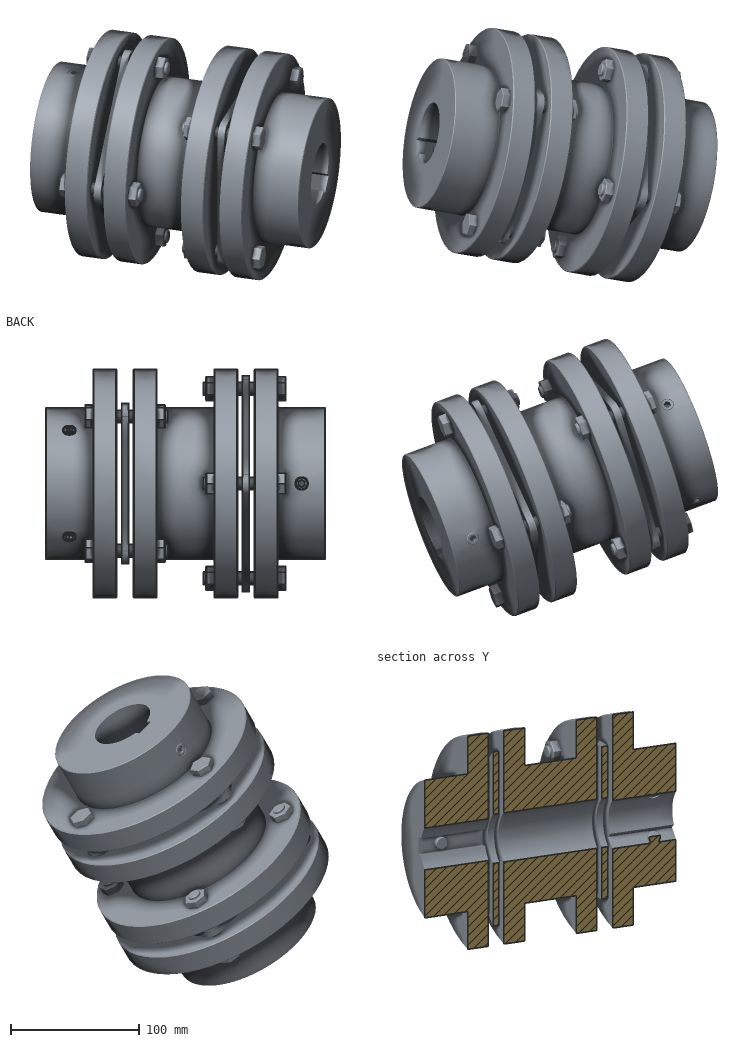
import cadquery as cq
import math


LENGTH = 218.0
HUB_RADIUS = 59.0
FLANGE_RADIUS = 178.0 / 2
FLANGE_WIDTH = 18.3
FLANGE_CHAMFER = 0.7
NECK_ROOT_FILLET = 0.55
HUB_END_CHAMFER = 0.55
BORE_RADIUS = 24.0
SPACER_BORE_RADIUS = 26.2

HUB_END_X = -LENGTH / 2
HUB_NECK_LENGTH = 37.0
FLANGE_GAP = 13.0
HUB_FLANGE_X = HUB_END_X + HUB_NECK_LENGTH
HUB_FACE_X = HUB_FLANGE_X + FLANGE_WIDTH
SPACER_FACE_X = HUB_FACE_X + FLANGE_GAP
SPACER_FLANGE_X = SPACER_FACE_X + FLANGE_WIDTH

BOLT_COUNT = 4
BOLT_CIRCLE_RADIUS = 74.0
BOLT_RADIUS = 5.0
HEX_ACROSS_FLATS = 16.1
HEX_HEIGHT = 6.3
HEX_CHAMFER = 0.55
BOLT_TIP_LENGTH = 2.2
BOLT_TIP_CHAMFER = 0.7
PACK_THICKNESS = 5.5
PACK_CORNER_RADIUS = 10.2

KEYWAY_WIDTH = 14.0
KEYWAY_DEPTH = 27.7

SCREW_RADIUS = 5.0
SCREW_CHAMFER = 0.7
SCREW_X = HUB_END_X + HUB_NECK_LENGTH / 2
SOCKET_ACROSS_FLATS = 5.0
SOCKET_DEPTH = 5.0

SELECTION_MARGIN = 0.2

HALF_TURN_ANGLE = -45


def across_corners(across_flats):
    return across_flats / math.cos(math.radians(30))


def along_x(x):
    """Sketch plane square to the shaft axis."""
    return cq.Workplane("YZ", origin=(x, 0, 0))


def turn_about_x(body, angle):
    return body.rotate((0, 0, 0), (1, 0, 0), angle)


def right_half_copy(body):
    return turn_about_x(body.mirror("YZ"), HALF_TURN_ANGLE)


def cylinder(x_start, x_end, radius):
    return along_x(x_start).circle(radius).extrude(x_end - x_start)


def flange(x_start):
    disc = cylinder(x_start, x_start + FLANGE_WIDTH, FLANGE_RADIUS)
    return disc.faces("<X or >X").edges().chamfer(FLANGE_CHAMFER)


def neck_root(x):
    """Selector box around the edge where a neck meets its flange at x."""
    reach = HUB_RADIUS + SELECTION_MARGIN
    low_corner = (x - SELECTION_MARGIN, -reach, -reach)
    high_corner = (x + SELECTION_MARGIN, reach, reach)
    return cq.selectors.BoxSelector(low_corner, high_corner, boundingbox=True)


def set_screw():
    """Set screw pointing along -Z, with a hex socket in its outer end."""
    body = (
        cq.Workplane("XY", origin=(SCREW_X, 0, BORE_RADIUS))
        .circle(SCREW_RADIUS)
        .extrude(HUB_RADIUS - BORE_RADIUS)
        .faces("<Z or >Z")
        .edges()
        .chamfer(SCREW_CHAMFER)
    )
    socket = (
        cq.Workplane("XY", origin=(SCREW_X, 0, HUB_RADIUS - SOCKET_DEPTH))
        .transformed(rotate=(0, 0, 90))
        .polygon(6, across_corners(SOCKET_ACROSS_FLATS))
        .extrude(SOCKET_DEPTH)
    )
    return body.cut(socket)


def hub():
    barrel = cylinder(HUB_END_X, HUB_FLANGE_X, HUB_RADIUS).faces("<X").chamfer(HUB_END_CHAMFER)
    body = barrel.union(flange(HUB_FLANGE_X))
    body = body.edges(neck_root(HUB_FLANGE_X)).fillet(NECK_ROOT_FILLET)
    body = body.cut(cylinder(HUB_END_X, HUB_FACE_X, BORE_RADIUS))

    keyway = (
        along_x(HUB_END_X)
        .rect(KEYWAY_DEPTH, KEYWAY_WIDTH)
        .extrude(HUB_FACE_X - HUB_END_X)
        .translate((0, KEYWAY_DEPTH / 2, 0))
    )
    body = body.cut(keyway)

    screw_hole = cq.Workplane("XY", origin=(SCREW_X, 0, 0)).circle(SCREW_RADIUS).extrude(FLANGE_RADIUS)
    for angle in (0, -90):
        body = body.cut(turn_about_x(screw_hole, angle))
        body = body.union(turn_about_x(set_screw(), angle))
    return body


def disc_pack():
    """Square link with a rounded corner around each bolt."""
    x_start = (HUB_FACE_X + SPACER_FACE_X - PACK_THICKNESS) / 2
    corner_to_corner = BOLT_CIRCLE_RADIUS * math.sqrt(2)
    side = corner_to_corner + 2 * PACK_CORNER_RADIUS
    pack = along_x(x_start).rect(side, side).extrude(PACK_THICKNESS)
    pack = pack.edges("|X").fillet(PACK_CORNER_RADIUS)
    pack = turn_about_x(pack, 45)
    return pack.cut(cylinder(x_start, x_start + PACK_THICKNESS, SPACER_BORE_RADIUS))


def bolts():
    """Ring of bolts with heads on the hub flange and nuts on the spacer flange."""
    hex_corners = across_corners(HEX_ACROSS_FLATS)
    head_x = HUB_FLANGE_X - HEX_HEIGHT
    tip_x = SPACER_FLANGE_X + HEX_HEIGHT + BOLT_TIP_LENGTH
    shank = cylinder(HUB_FLANGE_X, tip_x, BOLT_RADIUS).faces(">X").chamfer(BOLT_TIP_CHAMFER)
    head = along_x(head_x).polygon(6, hex_corners).extrude(HEX_HEIGHT)
    head = head.faces("<X").chamfer(HEX_CHAMFER)
    nut = along_x(SPACER_FLANGE_X).polygon(6, hex_corners).extrude(HEX_HEIGHT)
    nut = nut.faces(">X").chamfer(HEX_CHAMFER)
    bolt = shank.union(head).union(nut).translate((0, BOLT_CIRCLE_RADIUS, 0))

    ring = bolt
    for i in range(1, BOLT_COUNT):
        ring = ring.union(turn_about_x(bolt, i * 360 / BOLT_COUNT))
    return ring


def spacer():
    tube = cylinder(SPACER_FLANGE_X, -SPACER_FLANGE_X, HUB_RADIUS)
    left_flange = flange(SPACER_FACE_X)
    body = tube.union(left_flange).union(left_flange.mirror("YZ"))
    for x in (SPACER_FLANGE_X, -SPACER_FLANGE_X):
        body = body.edges(neck_root(x)).fillet(NECK_ROOT_FILLET)
    return body.cut(cylinder(SPACER_FACE_X, -SPACER_FACE_X, SPACER_BORE_RADIUS))


left_half = hub().union(disc_pack()).union(bolts())
result = spacer().union(left_half).union(right_half_copy(left_half))